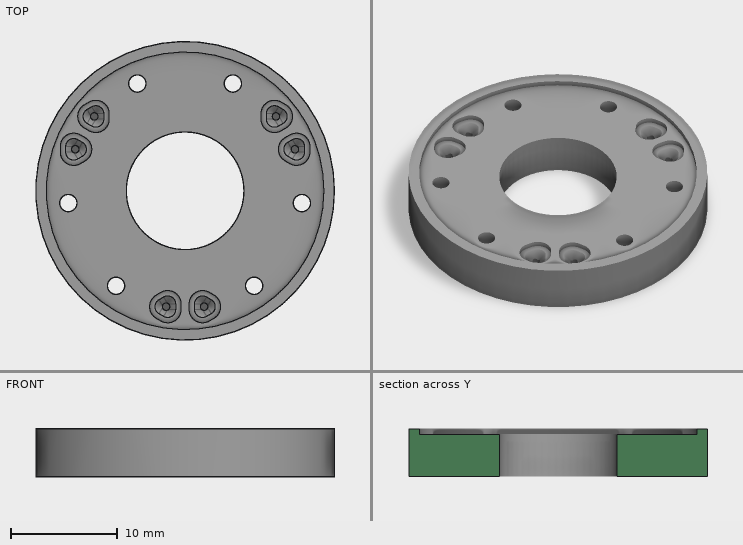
import cadquery as cq
import math

outer_diameter = 28.0
height = 4.5
bore_diameter = 11.0
recess_diameter = 26.0
recess_depth = 0.5

sector_count = 3
sector_angle = 360 / sector_count
circle_radius = 11.0

bolt_hole_diameter = 1.6
bolt_pair_centre_angle = 90
bolt_half_angle = 24

seat_pair_centre_angle = 270
seat_half_angle = 9.3
seat_triangle_side = 0.5
seat_corner_radius = 1.25
seat_depth = 0.5
funnel_corner_radius = 0.75
funnel_tip_radius = 0.03
funnel_wall_angle = 45
pin_hole_diameter = 0.7
pin_hole_depth = 1.5

floor_z = height - recess_depth
seat_floor_z = floor_z - seat_depth
funnel_reach = funnel_corner_radius - funnel_tip_radius
funnel_depth = funnel_reach / math.tan(math.radians(funnel_wall_angle))


def paired_points(centre_angle, half_angle):
    """Points on the feature circle, as (side, x, y), for each pair in each sector."""
    points = []
    for sector in range(sector_count):
        for side in (-1, 1):
            angle = math.radians(centre_angle + sector * sector_angle + side * half_angle)
            points.append((side, circle_radius * math.cos(angle), circle_radius * math.sin(angle)))
    return points


def rounded_triangle(z, corner_radius):
    """Equilateral triangle pointing to +X, grown outwards by the corner radius."""
    tip_distance = seat_triangle_side / math.sqrt(3)

    def rim_point(corner_angle, normal_angle):
        corner = math.radians(corner_angle)
        normal = math.radians(normal_angle)
        return (
            tip_distance * math.cos(corner) + corner_radius * math.cos(normal),
            tip_distance * math.sin(corner) + corner_radius * math.sin(normal),
        )

    corner_step = 120
    half_step = corner_step / 2
    outline = cq.Workplane("XY", origin=(0, 0, z)).moveTo(*rim_point(0, -half_step))
    for corner in (0, corner_step, 2 * corner_step):
        outline = outline.lineTo(*rim_point(corner, corner - half_step)) if corner else outline
        outline = outline.threePointArc(rim_point(corner, corner), rim_point(corner, corner + half_step))
    return outline.close()


def seat_cutter():
    """Straight seat, tapered funnel below it and a blind pin hole at the bottom."""
    seat = rounded_triangle(seat_floor_z, seat_corner_radius).extrude(seat_depth)
    funnel_outline = rounded_triangle(seat_floor_z, funnel_corner_radius)
    funnel = funnel_outline.extrude(-funnel_depth, taper=funnel_wall_angle)
    pin_hole = (
        cq.Workplane("XY", origin=(0, 0, seat_floor_z))
        .circle(pin_hole_diameter / 2)
        .extrude(-pin_hole_depth)
    )
    return seat.union(funnel).union(pin_hole)


ring = cq.Workplane("XY").circle(outer_diameter / 2).circle(bore_diameter / 2).extrude(height)
recess = cq.Workplane("XY", origin=(0, 0, floor_z)).circle(recess_diameter / 2).extrude(recess_depth)
result = ring.cut(recess)

bolt_centres = [(x, y) for _, x, y in paired_points(bolt_pair_centre_angle, bolt_half_angle)]
bolt_holes = cq.Workplane("XY").pushPoints(bolt_centres).circle(bolt_hole_diameter / 2).extrude(height)
result = result.cut(bolt_holes)

right_seat = seat_cutter()
left_seat = right_seat.mirror("YZ")
for side, x, y in paired_points(seat_pair_centre_angle, seat_half_angle):
    seat = right_seat if side > 0 else left_seat
    result = result.cut(seat.translate((x, y, 0)))